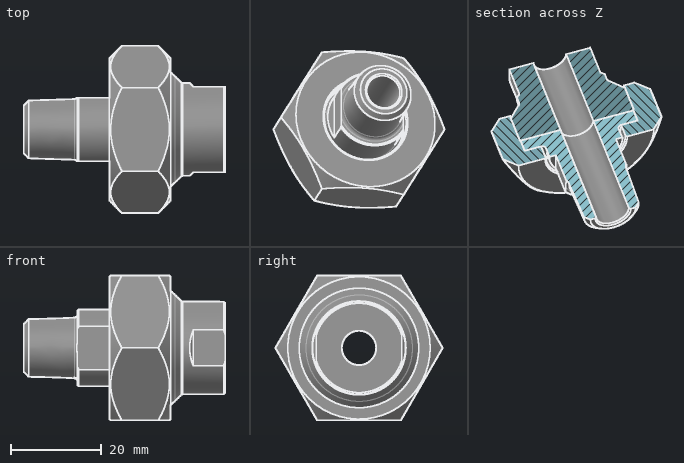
import cadquery as cq
import math

overall_length = 44.5
bore_diameter = 7.5

tip_chamfer = 1.1
tip_end_radius = 5.25
spigot_front_radius = 6.4
spigot_back_radius = 6.7
collar_front = 11.9
collar_diameter = 17.0
collar_chamfer = 0.25
spigot_fillet_end_diameter = 14.95
collar_flat_width = 14.05
collar_flat_end = 19.0
bore_mouth_chamfer = 0.35

nut_front = 18.9
nut_length = 13.55
nut_across_flats = 32.0
nut_chamfer_diameter = 31.4
nut_mouth_diameter = 18.5
nut_mouth_chamfer = 0.3
nut_lip_length = 3.4
nut_cavity_diameter = 26.4
nut_back = nut_front + nut_length
nut_lip_back = nut_front + nut_lip_length

joint_x = 25.35
cone_start = 31.8
cone_mid = 33.38
cone_mid_diameter = 23.5
cone_end = 34.8
cone_end_radius = 10.35
barrel_start = 35.05
barrel_diameter = 20.5
barrel_chamfer = 0.4
barrel_flat_width = 18.9
barrel_flat_start = 37.42

cutter_size = 44.5


def revolve_about_x(points):
    """Solid of revolution from a closed outline of (x, radius) points."""
    return cq.Workplane("XY").polyline(points).close().revolve(360, (0, 0, 0), (1, 0, 0))


def rod(start, end, diameter):
    """Cylinder along the X axis."""
    return cq.Workplane("YZ", origin=(start, 0, 0)).circle(diameter / 2).extrude(end - start)


def cut_collar_flats(body, flat_start):
    """Two parallel wrench flats facing +Y and -Y, each with a square end."""
    length = collar_flat_end - flat_start
    for side in (-1, 1):
        center_y = side * (collar_flat_width + cutter_size) / 2
        cutter = cq.Workplane("XY").box(length, cutter_size, cutter_size)
        body = body.cut(cutter.translate((flat_start + length / 2, center_y, 0)))
    return body


def make_tailpiece():
    collar_radius = collar_diameter / 2
    spigot_fillet = spigot_fillet_end_diameter / 2 - spigot_back_radius
    spigot_end = collar_front - spigot_fillet
    flange_fillet = (nut_mouth_diameter - collar_diameter) / 2
    flange_radius = nut_cavity_diameter / 2
    arc_inset = 1 - math.sqrt(0.5)
    outline = (
        cq.Workplane("XY")
        .moveTo(0, 0)
        .lineTo(0, tip_end_radius)
        .lineTo(tip_chamfer, spigot_front_radius)
        .lineTo(spigot_end, spigot_back_radius)
        .threePointArc(
            (collar_front - spigot_fillet * arc_inset, spigot_back_radius + spigot_fillet * arc_inset),
            (collar_front, spigot_back_radius + spigot_fillet),
        )
        .lineTo(collar_front, collar_radius - collar_chamfer)
        .lineTo(collar_front + collar_chamfer, collar_radius)
        .lineTo(nut_lip_back - flange_fillet, collar_radius)
        .threePointArc(
            (nut_lip_back - flange_fillet * arc_inset, collar_radius + flange_fillet * arc_inset),
            (nut_lip_back, collar_radius + flange_fillet),
        )
        .lineTo(nut_lip_back, flange_radius)
        .lineTo(joint_x, flange_radius)
        .lineTo(joint_x, 0)
        .close()
    )
    body = cut_collar_flats(outline.revolve(360, (0, 0, 0), (1, 0, 0)), spigot_end)
    body = body.cut(rod(0, joint_x, bore_diameter))
    return body.cut(revolve_about_x([
        (0, 0),
        (0, bore_diameter / 2 + bore_mouth_chamfer),
        (bore_mouth_chamfer, bore_diameter / 2),
        (bore_mouth_chamfer, 0),
    ]))


def make_nut():
    corner_diameter = nut_across_flats / math.cos(math.pi / 6)
    corner_radius = corner_diameter / 2
    chamfer_radius = nut_chamfer_diameter / 2
    corner_chamfer = corner_radius - chamfer_radius
    hexagon = cq.Workplane("YZ", origin=(nut_front, 0, 0)).polygon(6, corner_diameter).extrude(nut_length)
    corner_envelope = revolve_about_x([
        (nut_front, 0),
        (nut_front, chamfer_radius),
        (nut_front + corner_chamfer, corner_radius),
        (nut_back - corner_chamfer, corner_radius),
        (nut_back, chamfer_radius),
        (nut_back, 0),
    ])
    mouth_radius = nut_mouth_diameter / 2
    cavity_radius = nut_cavity_diameter / 2
    opening = revolve_about_x([
        (nut_front, 0),
        (nut_front, mouth_radius + nut_mouth_chamfer),
        (nut_front + nut_mouth_chamfer, mouth_radius),
        (nut_lip_back, mouth_radius),
        (nut_lip_back, cavity_radius),
        (nut_back, cavity_radius),
        (nut_back, 0),
    ])
    return hexagon.intersect(corner_envelope).cut(opening)


def cut_barrel_flats(body):
    """Two wrench flats facing +Y and -Y that run out to the barrel surface at 45 degrees."""
    flat_y = barrel_flat_width / 2
    runout = barrel_diameter / 2 - flat_y
    for side in (-1, 1):
        cutter = (
            cq.Workplane("XY", origin=(0, 0, -cutter_size / 2))
            .moveTo(barrel_flat_start, side * flat_y)
            .lineTo(overall_length, side * flat_y)
            .lineTo(overall_length, side * (flat_y + runout))
            .lineTo(barrel_flat_start - runout, side * (flat_y + runout))
            .close()
            .extrude(cutter_size)
        )
        body = body.cut(cutter)
    return body


def make_female_end():
    hub_radius = nut_cavity_diameter / 2
    barrel_radius = barrel_diameter / 2
    body = revolve_about_x([
        (joint_x, 0),
        (joint_x, hub_radius),
        (cone_start, hub_radius),
        (cone_mid, cone_mid_diameter / 2),
        (cone_end, cone_end_radius),
        (barrel_start, barrel_radius),
        (overall_length - barrel_chamfer, barrel_radius),
        (overall_length, barrel_radius - barrel_chamfer),
        (overall_length, 0),
    ])
    return cut_barrel_flats(body).cut(rod(joint_x, overall_length, bore_diameter))


tailpiece = make_tailpiece()
nut = make_nut()
female_end = make_female_end()

result = cq.Compound.makeCompound([tailpiece.val(), nut.val(), female_end.val()])